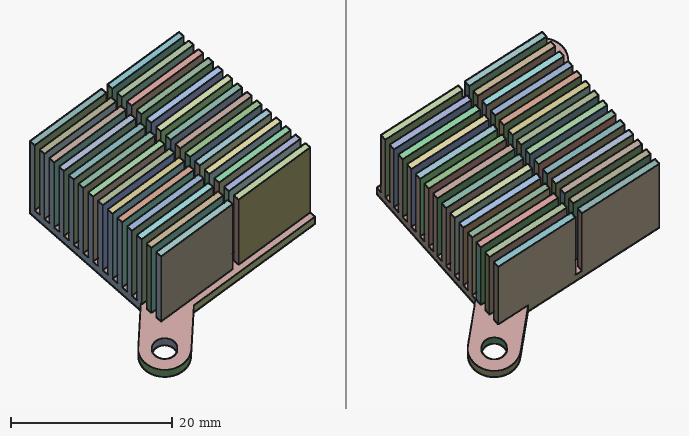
import cadquery as cq
import math

overall_size = 36.57
overall_height = 15.0
base_side = 25.0
base_thickness = 1.5
lug_radius = 3.3
lug_hole_diameter = 3.18
fin_count = 14
cross_slot_width = 1.0

fin_pitch = base_side / fin_count
fin_thickness = fin_pitch / 2
fin_height = overall_height - base_thickness

lug_offset = overall_size / 2 - lug_radius
lug_centers = [(-lug_offset, lug_offset), (lug_offset, -lug_offset)]
lug_spacing = 2 * lug_offset * math.sqrt(2)
strap_angle = -45.0


def make_base():
    """Square plate with a round-ended diagonal strap of the same thickness."""
    plate = cq.Workplane("XY").rect(base_side, base_side).extrude(base_thickness)
    strap = (
        cq.Workplane("XY")
        .slot2D(lug_spacing + 2 * lug_radius, 2 * lug_radius, strap_angle)
        .extrude(base_thickness)
    )
    return plate.union(strap)


def make_fins():
    """Row of upright fins parallel to Y, split in half by the cross slot."""
    fin_length = (base_side - cross_slot_width) / 2
    fin_y = (cross_slot_width + fin_length) / 2
    first_fin_x = (fin_thickness - base_side) / 2
    fin_centers = [
        (first_fin_x + index * fin_pitch, side * fin_y)
        for index in range(fin_count)
        for side in (-1, 1)
    ]
    return (
        cq.Workplane("XY")
        .workplane(offset=base_thickness)
        .pushPoints(fin_centers)
        .rect(fin_thickness, fin_length)
        .extrude(fin_height)
    )


def make_lug_holes():
    """Cutters for the mounting holes through both lugs."""
    return (
        cq.Workplane("XY")
        .pushPoints(lug_centers)
        .circle(lug_hole_diameter / 2)
        .extrude(base_thickness)
    )


result = make_base().union(make_fins()).cut(make_lug_holes())